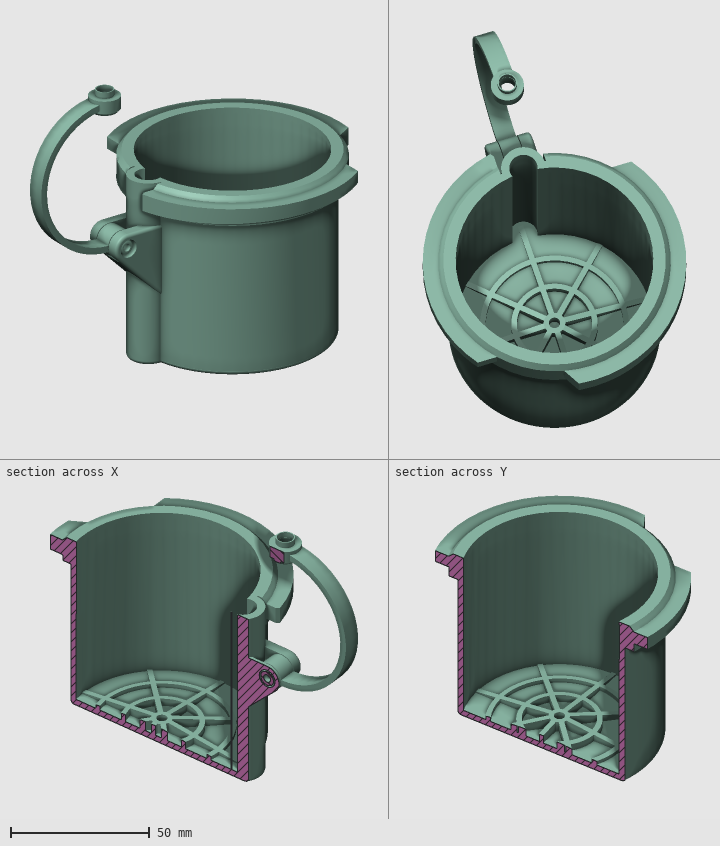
import cadquery as cq
import math

cup_height = 72.3
cup_radius = 38.25
bore_radius = 35.6
floor_thickness = 2.7
bottom_fillet = 1.6

neck_y = -37.1
neck_radius = 8.0
neck_bore_radius = 5.1

flange_radius = 42.0
flange_bottom_z = 61.3
flange_chamfer = 1.9
flange_gap_half = 8.6

lug_radius = 47.52
lug_root_radius = 39.9
lug_top_z = cup_height - flange_chamfer
lug_thick = 7.0
lug_thin = 4.6
lug_thick_end_x = 5.6
lug_thick_end_angle = 60.0
lug_thin_end_y = -28.5
lug_corner_x = 1.2
lug_corner_y = 1.5

rib_width = 2.0
spoke_count = 8
ring_outer_radii = (26.9, 15.6)
rib_cone_radius = 40.7
rib_cone_height = 4.7
hub_radius = 3.9
hub_hole_diameter = 4.0

hinge_y = -51.9
hinge_z = 49.9
knuckle_radius = 5.5
bracket_half_width = 8.6
bracket_edge_radius = 1.2
bracket_slope = 45.0
slot_half_width = 3.9
slot_radius = 7.3
pin_hole_diameter = 7.0

pin_diameter = 6.0
pin_bore_diameter = 3.0
pin_half_length = 7.5
pin_end_fillet = 1.2
strap_width = 7.1
strap_thickness = 2.5
strap_outer_radius = 29.91
strap_y = -57.0
strap_z = 78.0
strap_end_overlap = 0.8
cap_y = -56.5
cap_radius = 5.98
cap_bottom_z = 104.0
cap_top_z = 109.0
cap_bore_diameter = 6.0
spigot_diameter = 7.0
spigot_bore_diameter = 6.2
spigot_top_z = 111.5
cap_foot_radius = 5.2
cap_foot_height = 1.2
cap_foot_taper = 0.4


def cylinder(radius, bottom_z, top_z, y=0.0):
    """Vertical cylinder standing between two heights on the X = 0 plane."""
    return cq.Workplane("XY", origin=(0, y, bottom_z)).circle(radius).extrude(top_z - bottom_z)


def hinge_cylinder(radius, half_length):
    """Cylinder along X, centred on the hinge axis."""
    axis_plane = cq.Workplane("YZ", origin=(0, hinge_y, hinge_z))
    return axis_plane.circle(radius).extrude(half_length, both=True)


def on_circle(radius, angle):
    """Point on a circle around the origin, angle in degrees."""
    return radius * math.cos(math.radians(angle)), radius * math.sin(math.radians(angle))


def make_lug():
    """Lug on the -X side; its thickness shrinks counterclockwise from the thick to the thin end."""
    thick_tip_y = math.sqrt(lug_radius**2 - lug_thick_end_x**2)
    thin_tip_x = -math.sqrt(lug_radius**2 - lug_thin_end_y**2)
    thin_root_x = -math.sqrt(lug_root_radius**2 - lug_thin_end_y**2)

    slope_x, slope_y = on_circle(1.0, -lug_thick_end_angle)
    inward = -(lug_thick_end_x * slope_x + thick_tip_y * slope_y)
    face_length = inward - math.sqrt(inward**2 - lug_radius**2 + lug_root_radius**2)
    thick_root = (lug_thick_end_x + face_length * slope_x, thick_tip_y + face_length * slope_y)

    outline = (
        cq.Workplane("XY", origin=(0, 0, lug_top_z - lug_thick))
        .moveTo(lug_thick_end_x, thick_tip_y)
        .threePointArc((-lug_radius, 0), (thin_tip_x, lug_thin_end_y))
        .lineTo(thin_root_x, lug_thin_end_y)
        .threePointArc((-lug_root_radius, 0), thick_root)
        .close()
        .extrude(lug_thick)
    )

    start_angle = math.degrees(math.atan2(thick_root[1], thick_root[0]))
    end_angle = 180 + math.degrees(math.atan2(-lug_thin_end_y, -thin_root_x))
    climb = lug_thick - lug_thin
    pitch = climb * 360 / (end_angle - start_angle)
    path_radius = (lug_root_radius + lug_radius) / 2
    ramp_width = 2 * (lug_radius - lug_root_radius)
    ramp_height = 2 * lug_thick
    path = cq.Wire.makeHelix(pitch, climb, path_radius)
    ramp = (
        cq.Workplane("XZ", origin=(path_radius, 0, ramp_height / 2))
        .rect(ramp_width, ramp_height)
        .sweep(cq.Workplane(path), isFrenet=True)
        .rotate((0, 0, 0), (0, 0, 1), start_angle)
        .translate((0, 0, lug_top_z - lug_thick))
    )
    return outline.intersect(ramp)


def make_rim():
    """Chamfered flange with both lugs, interrupted where the neck passes."""
    flange = cylinder(flange_radius, flange_bottom_z, cup_height).faces(">Z").chamfer(flange_chamfer)
    gap = cq.Workplane("XY").box(2 * flange_gap_half, lug_radius, cup_height, centered=(True, False, False))
    flange = flange.cut(gap.translate((0, -lug_radius, 0)))

    gap_corner_y = -math.sqrt(lug_radius**2 - flange_gap_half**2)
    lug_end = (
        cq.Workplane("XY")
        .moveTo(-lug_radius, 0)
        .lineTo(flange_gap_half, 0)
        .lineTo(flange_gap_half, gap_corner_y + lug_corner_y)
        .lineTo(flange_gap_half + lug_corner_x, gap_corner_y)
        .lineTo(flange_gap_half + lug_corner_x, -lug_radius)
        .lineTo(-lug_radius, -lug_radius)
        .close()
        .extrude(cup_height)
    )
    lug = make_lug()
    opposite_lug = lug.rotate((0, 0, 0), (0, 0, 1), 180).cut(lug_end)
    return flange.union(lug).union(opposite_lug)


def make_bracket():
    """Triangular bracket ending in a slotted, drilled knuckle around the hinge axis."""
    top_z = hinge_z + knuckle_radius
    tangent_y, tangent_z = on_circle(knuckle_radius, -bracket_slope)
    nose_y, nose_z = on_circle(knuckle_radius, bracket_slope / 2)
    slope_end_z = hinge_z + tangent_z - (neck_y - hinge_y + tangent_y) * math.tan(math.radians(bracket_slope))
    bracket = (
        cq.Workplane("YZ")
        .moveTo(neck_y, top_z)
        .lineTo(hinge_y, top_z)
        .threePointArc((hinge_y - nose_y, hinge_z + nose_z), (hinge_y - tangent_y, hinge_z + tangent_z))
        .lineTo(neck_y, slope_end_z)
        .lineTo(-bore_radius, slope_end_z)
        .lineTo(-bore_radius, top_z)
        .close()
        .extrude(bracket_half_width, both=True)
    )
    bracket = bracket.faces("<X or >X").edges("not |Z").fillet(bracket_edge_radius)

    slot_height = 2 * slot_radius
    slot_top = cq.Workplane("XY").box(2 * slot_half_width, 2 * slot_height, slot_height)
    slot_top = slot_top.translate((0, hinge_y, hinge_z + slot_height / 2))
    slot = hinge_cylinder(slot_radius, slot_half_width).union(slot_top)
    pin_hole = hinge_cylinder(pin_hole_diameter / 2, bracket_half_width)
    return bracket.cut(slot).cut(pin_hole)


def make_floor_ribs():
    """Spokes and rings trimmed by a cone, plus the flat hub in the middle."""
    top_z = floor_thickness + rib_cone_height
    ribs = cylinder(hub_radius, floor_thickness, top_z)
    for radius in ring_outer_radii:
        ring = cylinder(radius, floor_thickness, top_z).cut(cylinder(radius - rib_width, floor_thickness, top_z))
        ribs = ribs.union(ring)
    for index in range(spoke_count):
        spoke = (
            cq.Workplane("XY", origin=(0, 0, floor_thickness))
            .center(0, -rib_cone_radius / 2)
            .rect(rib_width, rib_cone_radius)
            .extrude(rib_cone_height)
            .rotate((0, 0, 0), (0, 0, 1), index * 360 / spoke_count)
        )
        ribs = ribs.union(spoke)
    cone = cq.Workplane(
        cq.Solid.makeCone(rib_cone_radius, 0, rib_cone_height, pnt=cq.Vector(0, 0, floor_thickness))
    )
    hub_height = rib_cone_height * (1 - hub_radius / rib_cone_radius)
    hub_top_z = floor_thickness + hub_height
    ribs = ribs.intersect(cone).intersect(cylinder(cup_radius + neck_radius, floor_thickness, hub_top_z))
    return ribs.cut(cylinder(hub_hole_diameter / 2, floor_thickness, top_z))


def make_housing():
    shell = cylinder(cup_radius, 0, cup_height).union(cylinder(neck_radius, 0, cup_height, neck_y))
    shell = shell.faces("<Z").edges().fillet(bottom_fillet)
    cavity = cylinder(bore_radius, floor_thickness, cup_height)
    cavity = cavity.union(cylinder(neck_bore_radius, floor_thickness, cup_height, neck_y)).clean()
    housing = shell.union(make_rim()).union(make_bracket()).cut(cavity)
    return housing.union(make_floor_ribs().intersect(cavity))


def make_strap():
    barrel = hinge_cylinder(knuckle_radius, strap_width / 2)
    pin = hinge_cylinder(pin_diameter / 2, pin_half_length).edges().fillet(pin_end_fillet)

    arc_plane = cq.Workplane("YZ", origin=(0, strap_y, strap_z))
    band = arc_plane.circle(strap_outer_radius).circle(strap_outer_radius - strap_thickness)
    band = band.extrude(strap_width / 2, both=True)
    keep = cq.Workplane("XY").box(strap_width, 2 * strap_outer_radius, 2 * strap_outer_radius)
    keep = keep.translate((0, strap_y + strap_end_overlap - strap_outer_radius, strap_z))

    cap = cylinder(cap_radius, cap_bottom_z, cap_top_z, cap_y)
    foot = cylinder(cap_foot_radius, cap_bottom_z - cap_foot_height, cap_bottom_z, cap_y)
    foot = foot.faces("<Z").chamfer(cap_foot_height * 0.6, cap_foot_taper)
    spigot = cylinder(spigot_diameter / 2, cap_top_z, spigot_top_z, cap_y)

    strap = barrel.union(pin).union(band.intersect(keep)).union(cap).union(foot).union(spigot)
    strap = strap.cut(hinge_cylinder(pin_bore_diameter / 2, pin_half_length))
    strap = strap.cut(cylinder(cap_bore_diameter / 2, cap_bottom_z - cap_foot_height, cap_top_z, cap_y))
    return strap.cut(cylinder(spigot_bore_diameter / 2, cap_top_z, spigot_top_z, cap_y))


housing = make_housing()
strap = make_strap()

result = cq.Compound.makeCompound([housing.val(), strap.val()])